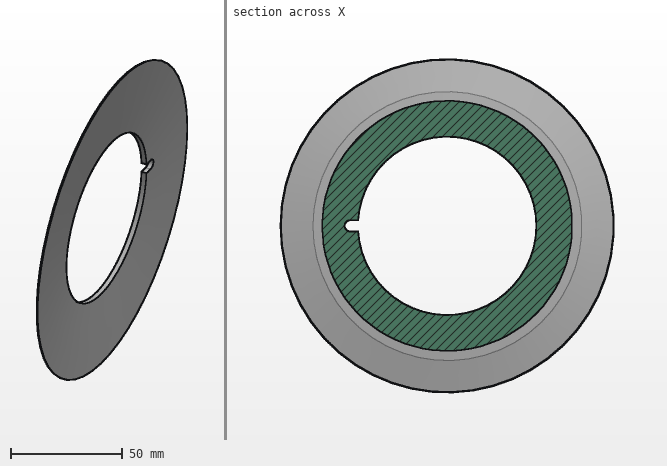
import cadquery as cq

outer_radius = 75.0
bend_radius = 60.5
front_rim_radius = 74.7
bore_radius = 40.0

overall_depth = 5.5
bend_depth = 1.8
bore_wall = 2.5
rim_wall = 0.8

slot_width = 5.0
slot_reach = 46.0


def dished_ring():
    """Two-cone front face backed by a single hollow cone, revolved about X."""
    section = [
        (0, bore_radius),
        (bend_depth, bend_radius),
        (overall_depth - rim_wall, front_rim_radius),
        (overall_depth, outer_radius),
        (bore_wall, bore_radius),
    ]
    return cq.Workplane("XY").polyline(section).close().revolve(360, (0, 0, 0), (1, 0, 0))


def keyway():
    """Cutter running along X, with a half-round outer end."""
    half_width = slot_width / 2
    round_start = slot_reach - half_width
    return (
        cq.Workplane("YZ")
        .moveTo(0, -half_width)
        .lineTo(round_start, -half_width)
        .threePointArc((slot_reach, 0), (round_start, half_width))
        .lineTo(0, half_width)
        .close()
        .extrude(overall_depth)
    )


result = dished_ring().cut(keyway())